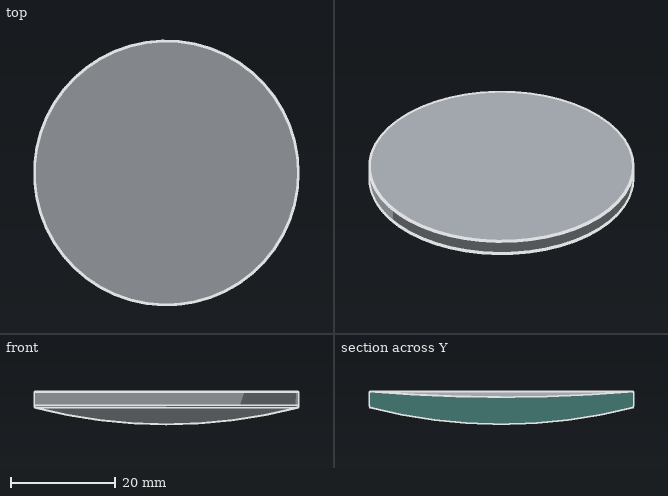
import cadquery as cq

diameter = 50.8
overall_height = 6.35
convex_depth = 3.2
concave_depth = 1.05
top_bevel = 0.2
bottom_bevel_width = 0.15
bottom_bevel_height = 0.45

rim_radius = diameter / 2
top_face_radius = rim_radius - top_bevel
bottom_face_radius = rim_radius - bottom_bevel_width
top_center = overall_height - concave_depth


def sphere_radius(half_chord, sag):
    """Radius of the sphere whose cap has this half chord and depth."""
    return (half_chord**2 + sag**2) / (2 * sag)


def height_on_sphere(radius, distance):
    """Rise of a spherical face above its lowest point at a distance from the axis."""
    return radius - (radius**2 - distance**2) ** 0.5


top_sphere = sphere_radius(top_face_radius, concave_depth)
bottom_sphere = sphere_radius(bottom_face_radius, convex_depth)

top_middle = (top_face_radius / 2, top_center + height_on_sphere(top_sphere, top_face_radius / 2))
bottom_middle = (bottom_face_radius / 2, height_on_sphere(bottom_sphere, bottom_face_radius / 2))

half_section = (
    cq.Workplane("XZ")
    .moveTo(0, 0)
    .threePointArc(bottom_middle, (bottom_face_radius, convex_depth))
    .lineTo(rim_radius, convex_depth + bottom_bevel_height)
    .lineTo(rim_radius, overall_height - top_bevel)
    .lineTo(top_face_radius, overall_height)
    .threePointArc(top_middle, (0, top_center))
    .close()
)

result = half_section.revolve(360, (0, 0, 0), (0, 1, 0))